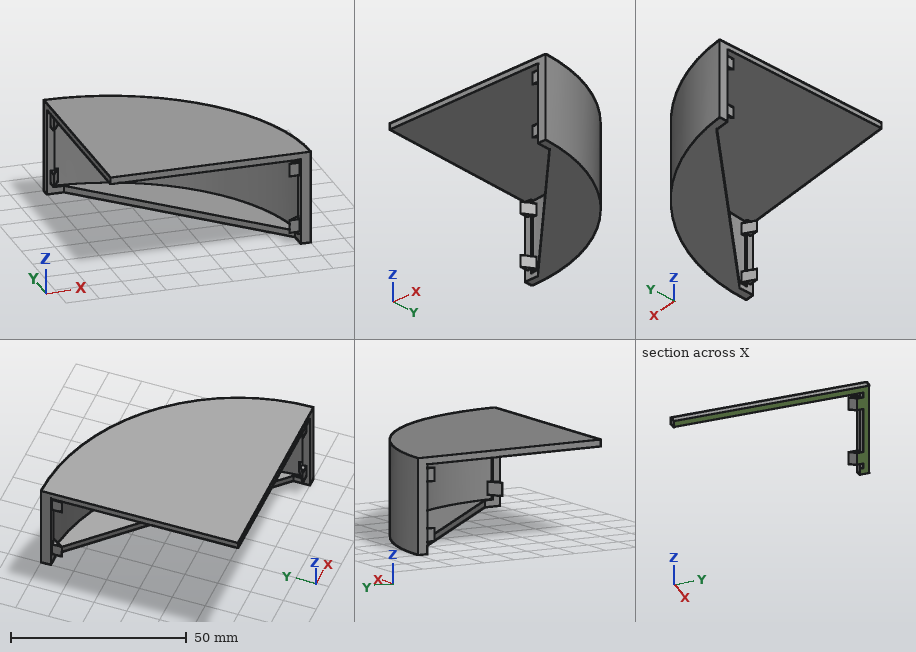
import cadquery as cq
import math

radius = 60
height = 28.0
plate = 2.05
wall = 2.0
post = 3
post_width = 2.3
floor_return = 5.05

lug_setback = 1.0
lug_width = 2.6
lug_depth = 3
lug_height = 3.85
lug_bottoms = (3.35, 20.75)

post_face = radius - post
cavity_radius = radius - wall


def quarter_disc(size, bottom, thickness):
    middle = size * math.sqrt(0.5)
    return (
        cq.Workplane("XY", origin=(0, 0, bottom))
        .lineTo(size, 0)
        .threePointArc((middle, middle), (0, size))
        .close()
        .extrude(thickness)
    )


def make_cavity():
    """Rounded room between floor and roof, leaving a post at both ends."""
    room_height = height - 2 * plate
    room = quarter_disc(cavity_radius, plate, room_height)
    post_blank = cq.Workplane("XY", origin=(post_face, 0, plate)).rect(post, post_width, centered=False)
    end_post = post_blank.extrude(room_height)
    return room.cut(end_post).cut(mirror_across_diagonal(end_post))


def make_floor_opening():
    """Cuts the floor corner away along a diagonal edge."""
    outline = [
        (0, 0),
        (post_face, 0),
        (post_face, floor_return),
        (floor_return, post_face),
        (0, post_face),
    ]
    return cq.Workplane("XY").polyline(outline).close().extrude(plate)


def make_lug(bottom):
    """Triangular lug behind the +X post, sunk into the curved wall."""
    lug_end = lug_setback + lug_width
    lug_tip = math.sqrt(cavity_radius**2 - lug_end**2)
    outline = [
        (post_face - lug_depth, lug_setback),
        (radius - wall / 2, lug_setback),
        (radius - wall / 2, lug_end),
        (lug_tip, lug_end),
    ]
    lug_blank = cq.Workplane("XY", origin=(0, 0, bottom)).polyline(outline).close()
    return lug_blank.extrude(lug_height)


def mirror_across_diagonal(body):
    """Swaps X and Y."""
    return body.mirror("XZ").rotate((0, 0, 0), (0, 0, 1), 90)


result = quarter_disc(radius, 0, height).cut(make_cavity()).cut(make_floor_opening())
for lug_bottom in lug_bottoms:
    lug = make_lug(lug_bottom)
    result = result.union(lug).union(mirror_across_diagonal(lug))